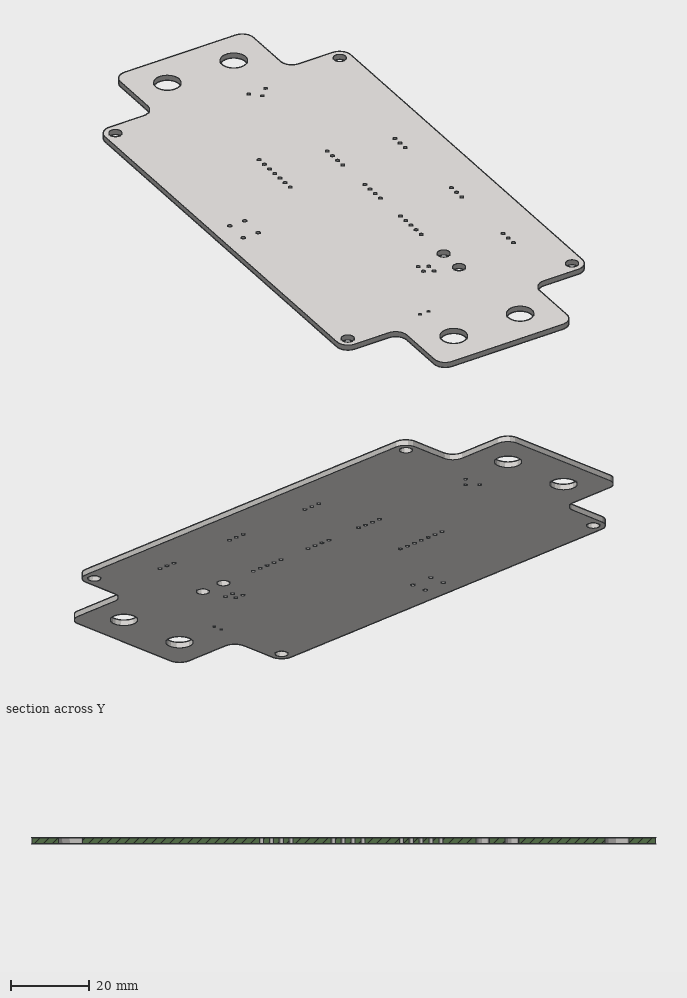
import cadquery as cq

total_length = 160.0
body_length = 120.0
body_width = 74.0
tab_width = 40.0
thickness = 1.58
corner_radius = 3.4

tab_hole_diameter = 7.0
tab_hole_spacing_x = 140.0
tab_hole_spacing_y = 20.0
mount_hole_diameter = 3.4
corner_hole_inset = 3.2

header_hole_diameter = 1.0
longest_header_pins = 7
longest_header_span = 15.2
pin_pitch = longest_header_span / (longest_header_pins - 1)
upper_row_y = 26.0
middle_row_y = 8.0
headers = [
    (3, -14.5, 26.0),
    (3, 12.8, upper_row_y),
    (3, 38.0, upper_row_y),
    (4, -17.3, middle_row_y),
    (4, 1.1, middle_row_y),
    (5, 19.8, middle_row_y),
    (longest_header_pins, -19.2, -9.0),
]

socket_x = 39.4
socket_peg_y = 8.2
socket_peg_spacing = 7.5
socket_contact_diameter = 1.0
socket_contact_pitch = 1.3
socket_contact_count = 4
socket_lower_row_y = -0.6
socket_upper_row_y = 1.8

button_hole_diameter = 1.1
button_x = -1.0
button_y = -29.5
button_spacing_x = 6.5
button_spacing_y = 4.5

trio_hole_diameter = 0.9
trio_x = -54.5
trio_y = 7.5

pair_hole_diameter = 0.7
pair_x = 56.8
pair_y = -10.7


def board():
    """Cross-shaped plate with its vertical edges rounded."""
    body = cq.Workplane("XY").box(body_length, body_width, thickness)
    tabs = cq.Workplane("XY").box(total_length, tab_width, thickness)
    return body.union(tabs).edges("|Z").fillet(corner_radius)


def rectangle_points(spacing_x, spacing_y, center_x=0.0, center_y=0.0):
    """Corners of a rectangle with the given side lengths and centre."""
    return [
        (center_x + side_x * spacing_x / 2, center_y + side_y * spacing_y / 2)
        for side_x in (-1, 1)
        for side_y in (-1, 1)
    ]


def row_points(count, pitch, center_x, center_y):
    """Evenly spaced points along X, centred on the given point."""
    first_x = center_x - pitch * (count - 1) / 2
    return [(first_x + index * pitch, center_y) for index in range(count)]


def socket_contact_points():
    """Contacts alternating between the lower and the upper row."""
    row_heights = (socket_lower_row_y, socket_upper_row_y)
    contacts = row_points(socket_contact_count, socket_contact_pitch, socket_x, 0.0)
    return [(x, row_heights[index % 2]) for index, (x, _) in enumerate(contacts)]


def drill(plate, points, diameter):
    """Cut through holes at the given points."""
    return plate.faces(">Z").workplane(origin=(0, 0, 0)).pushPoints(points).hole(diameter)


tab_holes = rectangle_points(tab_hole_spacing_x, tab_hole_spacing_y)
corner_holes = rectangle_points(
    body_length - 2 * corner_hole_inset, body_width - 2 * corner_hole_inset
)
socket_pegs = row_points(2, socket_peg_spacing, socket_x, socket_peg_y)
header_holes = [
    point for pins, x, y in headers for point in row_points(pins, pin_pitch, x, y)
]
button_holes = rectangle_points(button_spacing_x, button_spacing_y, button_x, button_y)
trio_holes = [
    (trio_x, trio_y + pin_pitch),
    (trio_x + pin_pitch, trio_y),
    (trio_x, trio_y - pin_pitch),
]
pair_holes = [(pair_x, pair_y + pin_pitch / 2), (pair_x, pair_y - pin_pitch / 2)]

result = board()
result = drill(result, tab_holes, tab_hole_diameter)
result = drill(result, corner_holes + socket_pegs, mount_hole_diameter)
result = drill(result, header_holes, header_hole_diameter)
result = drill(result, socket_contact_points(), socket_contact_diameter)
result = drill(result, button_holes, button_hole_diameter)
result = drill(result, trio_holes, trio_hole_diameter)
result = drill(result, pair_holes, pair_hole_diameter)